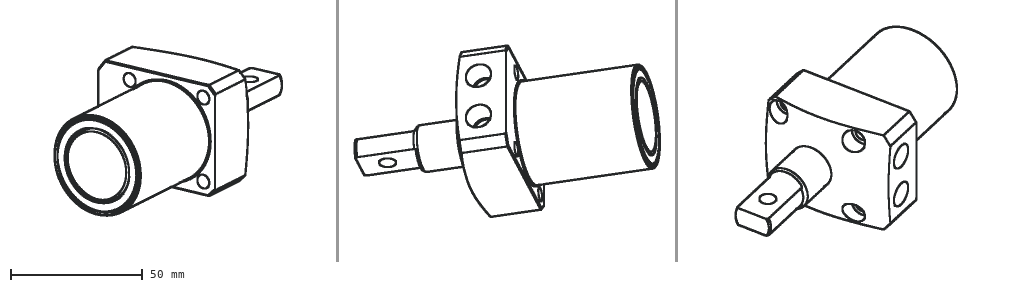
import cadquery as cq
import math


side_port = 31.5
side_plain = 22.5
half_height = 22.5
flange_length = 25.0
port_corner_x = 3.0
port_corner_z = 4.0
plain_corner = 3.0
mount_chamfer = 0.4
crown_flat_radius = 12.0
crown_angle = 15.0

collar_radius = 20.5
collar_length = 0.5
barrel_radius = 20.0
barrel_length = 46.5
barrel_chamfer = 0.5

cap_radius = 18.6
cap_thickness = 6.8
cap_chamfer = 0.5
seat_chamfer = 0.8
ring_outer_radius = 14.9
ring_floor_radius = 14.4
ring_inner_radius = 13.6
ring_depth = 1.4

bolt_spacing = 34.0
bolt_diameter = 5.5
bolt_head_diameter = 9.0
bolt_head_seat = 16.0
port_spacing = 18.0
port_offset = 11.0
port_diameter = 10.0
port_depth = 10.2
port_drill_diameter = 8.7
port_drill_depth = 13.6

rod_radius = 9.0
rod_length = 17.5
rod_cone_length = 1.6
tang_radius = 8.0
tang_length = 24.0
tang_thickness = 8.0
tang_chamfer_length = 0.9
tang_chamfer_height = 0.5
tang_root_fillet = 0.6
cross_hole_diameter = 6.4
cross_hole_from_tip = 11.0

barrel_end = -barrel_length
cap_back = barrel_end + cap_thickness
shoulder = flange_length + rod_length
cone_end = shoulder + tang_root_fillet
tip = shoulder + tang_length


def revolve_about_axis(profile):
    """Turn a closed outline of (radius, y) points about the Y axis."""
    return cq.Workplane("XY").polyline(profile).close().revolve(360, (0, 0, 0), (0, 1, 0))


def make_flange():
    outline = [
        (-side_port + port_corner_x, -half_height),
        (side_plain - plain_corner, -half_height),
        (side_plain, -half_height + plain_corner),
        (side_plain, half_height - plain_corner),
        (side_plain - plain_corner, half_height),
        (-side_port + port_corner_x, half_height),
        (-side_port, half_height - port_corner_z),
        (-side_port, -half_height + port_corner_z),
    ]
    block = cq.Workplane("XZ").polyline(outline).close().extrude(-flange_length)
    block = block.faces("<Y").edges("not |Z").chamfer(mount_chamfer)
    reach = 2 * side_port
    crown_drop = (reach - crown_flat_radius) * math.tan(math.radians(crown_angle))
    crown = revolve_about_axis([
        (0, -crown_drop),
        (reach, -crown_drop),
        (reach, flange_length - crown_drop),
        (crown_flat_radius, flange_length),
        (0, flange_length),
    ])
    return block.intersect(crown)


def make_barrel():
    return revolve_about_axis([
        (0, 0),
        (collar_radius, 0),
        (collar_radius, -collar_length),
        (barrel_radius, -collar_length),
        (barrel_radius, barrel_end + barrel_chamfer),
        (barrel_radius - barrel_chamfer, barrel_end),
        (0, barrel_end),
    ])


def make_cap_seat():
    return revolve_about_axis([
        (0, barrel_end),
        (cap_radius + seat_chamfer, barrel_end),
        (cap_radius, barrel_end + seat_chamfer),
        (cap_radius, cap_back),
        (0, cap_back),
    ])


def make_port(z):
    mouth = cq.Workplane("YZ", origin=(-side_port, port_offset, z))
    thread = mouth.circle(port_diameter / 2).extrude(port_depth)
    drill = mouth.circle(port_drill_diameter / 2).extrude(port_drill_depth)
    return thread.union(drill)


def make_bolt_hole(x, z):
    shank = cq.Workplane("XZ", origin=(x, 0, z)).circle(bolt_diameter / 2).extrude(-flange_length)
    head = (
        cq.Workplane("XZ", origin=(x, bolt_head_seat, z))
        .circle(bolt_head_diameter / 2)
        .extrude(bolt_head_seat - flange_length)
    )
    return shank.union(head)


def make_housing():
    housing = make_flange().union(make_barrel()).cut(make_cap_seat())
    rod_bore = cq.Workplane("XZ").circle(rod_radius).extrude(-flange_length)
    housing = housing.cut(rod_bore)
    for x in (-bolt_spacing / 2, bolt_spacing / 2):
        for z in (-bolt_spacing / 2, bolt_spacing / 2):
            housing = housing.cut(make_bolt_hole(x, z))
    for z in (-port_spacing / 2, port_spacing / 2):
        housing = housing.cut(make_port(z))
    return housing


def make_cap():
    return revolve_about_axis([
        (0, barrel_end),
        (ring_inner_radius, barrel_end),
        (ring_floor_radius, barrel_end + ring_depth),
        (ring_outer_radius, barrel_end + ring_depth),
        (ring_outer_radius, barrel_end),
        (cap_radius - cap_chamfer, barrel_end),
        (cap_radius, barrel_end + cap_chamfer),
        (cap_radius, cap_back),
        (0, cap_back),
    ])


def make_tang_relief():
    """Material cut away above the upper flat, with a filleted root."""
    return (
        cq.Workplane("XY", origin=(0, shoulder, tang_thickness / 2))
        .box(2 * rod_radius, tang_length, rod_radius, centered=(True, False, False))
        .edges("<Y and <Z")
        .fillet(tang_root_fillet)
    )


def make_rod():
    rod = revolve_about_axis([
        (0, 0),
        (rod_radius, 0),
        (rod_radius, cone_end - rod_cone_length),
        (tang_radius, cone_end),
        (tang_radius, tip - tang_chamfer_length),
        (tang_radius - tang_chamfer_height, tip),
        (0, tip),
    ])
    relief = make_tang_relief()
    rod = rod.cut(relief).cut(relief.mirror("XY"))
    cross_hole = (
        cq.Workplane("XY", origin=(0, tip - cross_hole_from_tip, 0))
        .circle(cross_hole_diameter / 2)
        .extrude(tang_thickness / 2, both=True)
    )
    return rod.cut(cross_hole)


housing = make_housing()
cap = make_cap()
rod = make_rod()

result = cq.Compound.makeCompound([housing.val(), cap.val(), rod.val()])